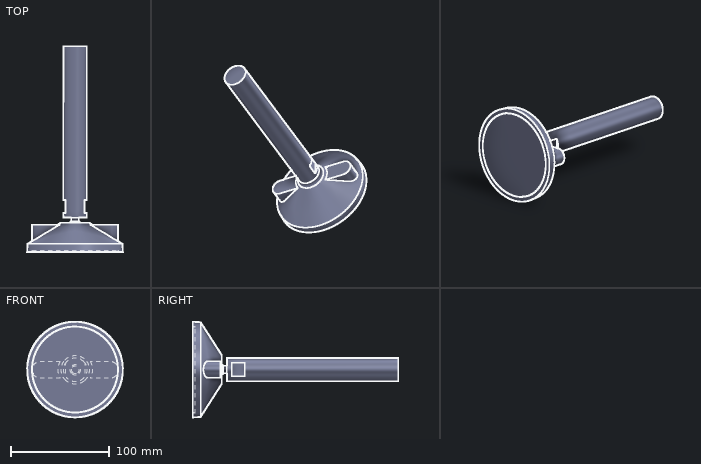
import cadquery as cq


foot_diameter = 98.0
rim_top_diameter = 97.0
rim_height = 8.2
cone_top_diameter = 29.0
foot_height = 30.0

pad_recess_diameter = 88.0
pad_diameter = 87.5
pad_groove_depth = 2.0

lug_span = 88.0
lug_width = 17.0
lug_top = 28.0

ball_diameter = 12.5
ball_center_y = 26.6
neck_diameter = 7.8

stud_diameter = 24.0
stud_start = 35.0
stud_end = 210.0
flat_start = 40.0
flat_length = 13.0
width_across_flats = 19.5


def cylinder_y(diameter, y_start, y_end):
    """Cylinder on the Y axis from y_start to y_end."""
    return cq.Workplane("XZ", origin=(0, y_start, 0)).circle(diameter / 2).extrude(y_start - y_end)


def make_foot():
    """Flat foot: slightly tapered rim below a truncated cone."""
    return (
        cq.Workplane("YZ")
        .lineTo(0, -foot_diameter / 2)
        .lineTo(rim_height, -rim_top_diameter / 2)
        .lineTo(foot_height, -cone_top_diameter / 2)
        .lineTo(foot_height, 0)
        .close()
        .revolve(360, (0, 0, 0), (1, 0, 0))
    )


def make_lugs():
    """Round-ended bar along X whose ends stand out of the cone."""
    return (
        cq.Workplane("XZ", origin=(0, rim_height, 0))
        .slot2D(lug_span, lug_width)
        .extrude(rim_height - lug_top)
    )


def make_pad_groove():
    """Thin ring between the pad and the wall of its recess."""
    recess = cylinder_y(pad_recess_diameter, 0, pad_groove_depth)
    return recess.cut(cylinder_y(pad_diameter, 0, pad_groove_depth))


def make_ball_joint():
    """Ball seated in the foot and the neck joining it to the stud."""
    ball = cq.Workplane("XY", origin=(0, ball_center_y, 0)).sphere(ball_diameter / 2)
    return ball.union(cylinder_y(neck_diameter, ball_center_y, stud_start))


def make_stud():
    """Plain stud with flats on its -X and +X sides."""
    stud = cylinder_y(stud_diameter, stud_start, stud_end)
    flat_depth = (stud_diameter - width_across_flats) / 2
    for side in (-1, 1):
        cutter = cq.Workplane("XY").box(flat_depth, flat_length, stud_diameter)
        cutter_x = side * (width_across_flats + flat_depth) / 2
        stud = stud.cut(cutter.translate((cutter_x, flat_start + flat_length / 2, 0)))
    return stud


result = (
    make_foot()
    .union(make_lugs())
    .cut(make_pad_groove())
    .union(make_ball_joint())
    .union(make_stud())
)